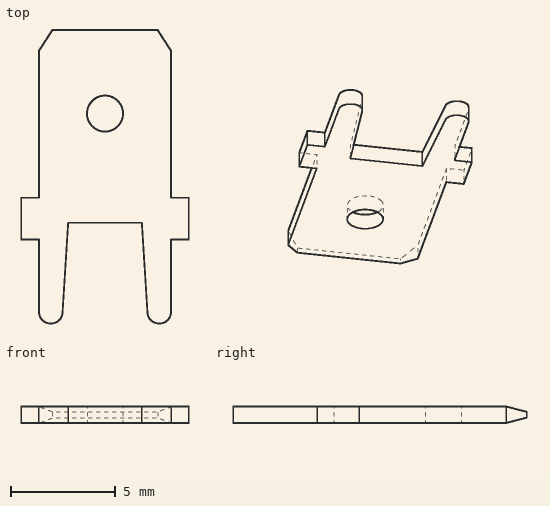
import cadquery as cq

length = 14.0
shoulder_span = 8.0
thickness = 0.8

blade_width = 6.3
taper_length = 1.0
taper_end_width = 5.01
taper_end_thickness = 0.28
hole_diameter = 1.71
hole_y = 10.01

shoulder_bottom = 4.0
shoulder_top = 6.0
notch_top = 4.8
notch_top_width = 3.5
leg_tip_width = 1.13
tip_radius = 0.56

half_blade = blade_width / 2
taper_start = length - taper_length


def centered_box(width, y_start, y_end):
    """Full-thickness plate centered on X and Z."""
    return (
        cq.Workplane("XY")
        .box(width, y_end - y_start, thickness, centered=(True, False, True))
        .translate((0, y_start, 0))
    )


def right_leg():
    """Leg with a straight outer edge, a sloped inner edge and a rounded tip."""
    inner_x = half_blade - leg_tip_width
    return (
        cq.Workplane("XY", origin=(0, 0, -thickness / 2))
        .moveTo(notch_top_width / 2, notch_top)
        .lineTo(half_blade, notch_top)
        .lineTo(half_blade, tip_radius)
        .tangentArcPoint((half_blade - tip_radius, 0), relative=False)
        .lineTo(inner_x + tip_radius, 0)
        .tangentArcPoint((inner_x, tip_radius), relative=False)
        .close()
        .extrude(thickness)
    )


def tapered_tip():
    """Lead-in narrowing in both width and thickness toward +Y."""
    return (
        cq.Workplane("XZ", origin=(0, taper_start, 0))
        .rect(blade_width, thickness)
        .workplane(offset=-taper_length)
        .rect(taper_end_width, taper_end_thickness)
        .loft(ruled=True)
    )


blade = centered_box(blade_width, notch_top, taper_start)
shoulder_bar = centered_box(shoulder_span, shoulder_bottom, shoulder_top)
hole = (
    cq.Workplane("XY", origin=(0, hole_y, -thickness / 2))
    .circle(hole_diameter / 2)
    .extrude(thickness)
)

ears = shoulder_bar.cut(centered_box(blade_width, shoulder_bottom, shoulder_top))
leg = right_leg()

result = blade.union(tapered_tip()).union(ears).union(leg).union(leg.mirror("YZ")).cut(hole).clean()